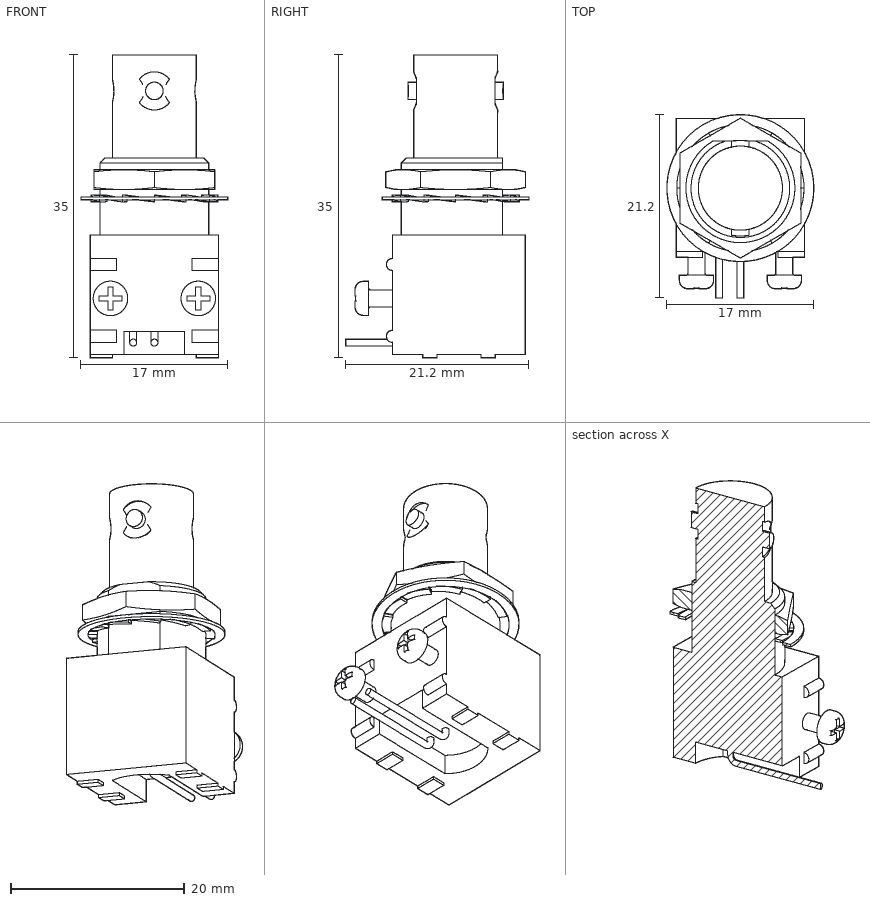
import cadquery as cq
import math


BLOCK_WIDTH = 14.85
BLOCK_FRONT_Y = -7.3
BLOCK_BACK_Y = 8.05
BLOCK_DEPTH = BLOCK_BACK_Y - BLOCK_FRONT_Y
BLOCK_HEIGHT = 13.85

FOOT_WIDTH = 2.6
FOOT_DEPTH = 1.68
FOOT_HEIGHT = 0.35
FOOT_CENTERS_Y = (3.75, -2.98)

RIB_RADIUS = 0.7
RIB_LENGTH = 3.05
RIB_CENTERS_Z = (10.43, 2.15)

RECESS_WIDTH = 7.0
RECESS_BACK_RADIUS = 4.9
RECESS_HEIGHT = 2.65
LEAD_DIAMETER = 0.8
LEAD_BEND_RADIUS = 0.85
LEAD_AXIS_Z = 1.4
LEAD_TIP_Y = -12.7
LEAD_CENTERS_X = (-2.45, 0.0)

TOTAL_HEIGHT = 35.0
TOP_Z = TOTAL_HEIGHT - FOOT_HEIGHT
BARREL_RADIUS = 6.3
BARREL_FLAT_Y = 5.42
BARREL_TOP_Z = 22.75
BARREL_CHAMFER = 0.6

TUBE_RADIUS = 4.85
LUG_AXIS_Z = TOP_Z - 4.15
GROOVE_HALF_WIDTH = 1.33
GROOVE_DEPTH = 0.18
LUG_RADIUS = 1.0
LUG_TIP_RADIUS = 5.53
SPOT_RADIUS = 2.2
SPOT_FLOOR_Y = 4.55

NUT_ACROSS_FLATS = 14.0
NUT_HEIGHT = 2.3
NUT_TOP_Z = 21.4
NUT_BOTTOM_Z = NUT_TOP_Z - NUT_HEIGHT
NUT_FACE_RADIUS = 6.93
NUT_CORNER_RADIUS = NUT_ACROSS_FLATS / 2 / math.cos(math.radians(30))
NUT_CORNER_DROP = 0.25

WASHER_RADIUS = 8.5
WASHER_RIM_INNER_RADIUS = 7.35
WASHER_THICKNESS = 0.35
WASHER_CENTER_Z = 18.05
TOOTH_COUNT = 12
TOOTH_ANGLE = 360 / TOOTH_COUNT
TOOTH_TWIST = 7

SCREW_CENTERS_X = (-5.08, 5.08)
SCREW_AXIS_Z = 6.5
SHANK_RADIUS = 0.998
SHANK_LENGTH = 2.73
NECK_FILLET = 0.18
HEAD_RADIUS = 2.0
HEAD_HEIGHT = 1.6
HEAD_ROUNDING = 1.0
CROSS_LENGTH = 2.65
CROSS_ARM_WIDTH = 0.6
CROSS_DEPTH = 0.7


def cylinder(radius, bottom_z, top_z):
    """Cylinder on the barrel axis between two heights."""
    return cq.Workplane("XY").workplane(offset=bottom_z).circle(radius).extrude(top_z - bottom_z)


def facing_front(x, y, z):
    """Workplane whose normal points to -Y, with its X along +X and its Y along +Z."""
    return cq.Workplane(cq.Plane(origin=(x, y, z), xDir=(1, 0, 0), normal=(0, -1, 0)))


def make_block():
    block = cq.Workplane("XY").box(BLOCK_WIDTH, BLOCK_DEPTH, BLOCK_HEIGHT, centered=(True, False, False))
    block = block.translate((0, BLOCK_FRONT_Y, 0))
    for side in (-1, 1):
        foot_x = side * (BLOCK_WIDTH - FOOT_WIDTH) / 2
        for foot_y in FOOT_CENTERS_Y:
            foot = cq.Workplane("XY").center(foot_x, foot_y).rect(FOOT_WIDTH, FOOT_DEPTH).extrude(-FOOT_HEIGHT)
            block = block.union(foot)
        rib_start_x = side * BLOCK_WIDTH / 2
        for rib_z in RIB_CENTERS_Z:
            rib = (
                cq.Workplane("YZ")
                .workplane(offset=rib_start_x)
                .center(BLOCK_FRONT_Y, rib_z)
                .circle(RIB_RADIUS)
                .extrude(-side * RIB_LENGTH)
            )
            block = block.union(rib)
    return block


def make_recess():
    """Straight-sided recess whose back wall is an arc about the barrel axis."""
    half_width = RECESS_WIDTH / 2
    side_end_y = math.sqrt(RECESS_BACK_RADIUS**2 - half_width**2)
    return (
        cq.Workplane("XY")
        .moveTo(-half_width, BLOCK_FRONT_Y)
        .lineTo(half_width, BLOCK_FRONT_Y)
        .lineTo(half_width, side_end_y)
        .threePointArc((0, RECESS_BACK_RADIUS), (-half_width, side_end_y))
        .close()
        .extrude(RECESS_HEIGHT)
    )


def make_lead(x):
    """Round lead that drops from the recess ceiling, bends and runs out to the front."""
    bend_top_z = LEAD_AXIS_Z + LEAD_BEND_RADIUS
    path = (
        cq.Workplane(cq.Plane(origin=(x, 0, 0), xDir=(0, 1, 0), normal=(1, 0, 0)))
        .moveTo(0, RECESS_HEIGHT)
        .lineTo(0, bend_top_z)
        .tangentArcPoint((-LEAD_BEND_RADIUS, LEAD_AXIS_Z), relative=False)
        .lineTo(LEAD_TIP_Y, LEAD_AXIS_Z)
    )
    section = cq.Workplane("XY").workplane(offset=RECESS_HEIGHT).center(x, 0).circle(LEAD_DIAMETER / 2)
    return section.sweep(path)


def flatten_back(shape):
    """Cut away everything behind the barrel's flat."""
    size = 2 * TOTAL_HEIGHT
    behind_flat = cq.Workplane("XY").box(size, size, size, centered=(True, False, True))
    return shape.cut(behind_flat.translate((0, BARREL_FLAT_Y, 0)))


def make_barrel(bottom_z):
    barrel = cylinder(BARREL_RADIUS, bottom_z, BARREL_TOP_Z).faces(">Z").chamfer(BARREL_CHAMFER)
    return flatten_back(barrel)


def make_tube():
    waist_radius = TUBE_RADIUS - GROOVE_DEPTH
    groove_arc_radius = (GROOVE_HALF_WIDTH**2 + GROOVE_DEPTH**2) / (2 * GROOVE_DEPTH)
    tube = (
        cq.Workplane("XZ")
        .moveTo(0, BARREL_TOP_Z)
        .lineTo(TUBE_RADIUS, BARREL_TOP_Z)
        .lineTo(TUBE_RADIUS, LUG_AXIS_Z - GROOVE_HALF_WIDTH)
        .radiusArc((waist_radius, LUG_AXIS_Z), groove_arc_radius)
        .radiusArc((TUBE_RADIUS, LUG_AXIS_Z + GROOVE_HALF_WIDTH), groove_arc_radius)
        .lineTo(TUBE_RADIUS, TOP_Z)
        .lineTo(0, TOP_Z)
        .close()
        .revolve(360, (0, 0, 0), (0, 1, 0))
    )
    front_spot = facing_front(0, -SPOT_FLOOR_Y, LUG_AXIS_Z).circle(SPOT_RADIUS).extrude(TUBE_RADIUS)
    tube = tube.cut(front_spot).cut(front_spot.mirror("XZ"))
    lug_bar = facing_front(0, 0, LUG_AXIS_Z).circle(LUG_RADIUS).extrude(2 * LUG_TIP_RADIUS, both=True)
    lug_ends = cylinder(LUG_TIP_RADIUS, LUG_AXIS_Z - LUG_RADIUS, LUG_AXIS_Z + LUG_RADIUS)
    return tube.union(lug_bar.intersect(lug_ends))


def make_housing():
    housing = make_block().cut(make_recess())
    for x in LEAD_CENTERS_X:
        housing = housing.union(make_lead(x))
    return housing.union(make_barrel(BLOCK_HEIGHT)).union(make_tube())


def make_nut():
    """Hexagon nut with corners bevelled on both faces and a bore that fits the flattened barrel."""
    hexagon = (
        cq.Workplane("XY")
        .workplane(offset=NUT_BOTTOM_Z)
        .polygon(6, 2 * NUT_CORNER_RADIUS)
        .extrude(NUT_HEIGHT)
        .rotate((0, 0, 0), (0, 0, 1), 30)
    )
    bevel_envelope = (
        cq.Workplane("XZ")
        .moveTo(0, NUT_BOTTOM_Z)
        .lineTo(NUT_FACE_RADIUS, NUT_BOTTOM_Z)
        .lineTo(NUT_CORNER_RADIUS, NUT_BOTTOM_Z + NUT_CORNER_DROP)
        .lineTo(NUT_CORNER_RADIUS, NUT_TOP_Z - NUT_CORNER_DROP)
        .lineTo(NUT_FACE_RADIUS, NUT_TOP_Z)
        .lineTo(0, NUT_TOP_Z)
        .close()
        .revolve(360, (0, 0, 0), (0, 1, 0))
    )
    bore = flatten_back(cylinder(BARREL_RADIUS, NUT_BOTTOM_Z, NUT_TOP_Z))
    return hexagon.intersect(bevel_envelope).cut(bore)


def make_washer():
    """Flat rim with a ring of inner teeth, each twisted about its own radial axis."""
    rim = (
        cq.Workplane("XY")
        .circle(WASHER_RADIUS)
        .circle(WASHER_RIM_INNER_RADIUS)
        .extrude(WASHER_THICKNESS / 2, both=True)
    )
    half_angle = math.radians(TOOTH_ANGLE / 2)
    sector_length = WASHER_RADIUS
    sector_half_width = sector_length * math.tan(half_angle)
    sector = (
        cq.Workplane("XY")
        .polyline([(0, 0), (sector_length, -sector_half_width), (sector_length, sector_half_width)])
        .close()
        .extrude(WASHER_THICKNESS * 2, both=True)
    )
    tooth_ring = (
        cq.Workplane("XY")
        .circle(WASHER_RIM_INNER_RADIUS)
        .circle(BARREL_RADIUS)
        .extrude(WASHER_THICKNESS * 2, both=True)
    )
    twisted_plate = (
        cq.Workplane("XY")
        .box(2 * WASHER_RADIUS, 2 * WASHER_RADIUS, WASHER_THICKNESS)
        .rotate((0, 0, 0), (1, 0, 0), -TOOTH_TWIST)
    )
    tooth = twisted_plate.intersect(sector).intersect(tooth_ring)
    washer = rim
    for index in range(TOOTH_COUNT):
        angle = (index + 0.5) * TOOTH_ANGLE
        washer = washer.union(tooth.rotate((0, 0, 0), (0, 0, 1), angle))
    return washer.translate((0, 0, WASHER_CENTER_Z))


def make_screw(x):
    """Pan-head screw standing on the front face, with a cross recess in its head."""
    neck_length = SHANK_LENGTH - NECK_FILLET
    length = SHANK_LENGTH + HEAD_HEIGHT
    rounding_start = length - HEAD_ROUNDING
    screw = (
        facing_front(x, BLOCK_FRONT_Y, SCREW_AXIS_Z)
        .transformed(rotate=(90, 0, 0))
        .lineTo(SHANK_RADIUS, 0)
        .lineTo(SHANK_RADIUS, neck_length)
        .radiusArc((SHANK_RADIUS + NECK_FILLET, SHANK_LENGTH), NECK_FILLET)
        .lineTo(HEAD_RADIUS, SHANK_LENGTH)
        .lineTo(HEAD_RADIUS, rounding_start)
        .radiusArc((HEAD_RADIUS - HEAD_ROUNDING, length), -HEAD_ROUNDING)
        .lineTo(0, length)
        .close()
        .revolve(360, (0, 0, 0), (0, 1, 0))
    )
    tip = facing_front(x, BLOCK_FRONT_Y - length, SCREW_AXIS_Z)
    across = tip.rect(CROSS_LENGTH, CROSS_ARM_WIDTH).extrude(-CROSS_DEPTH)
    upright = tip.rect(CROSS_ARM_WIDTH, CROSS_LENGTH).extrude(-CROSS_DEPTH)
    return screw.cut(across).cut(upright)


housing = make_housing()
nut = make_nut()
washer = make_washer()
screws = [make_screw(x) for x in SCREW_CENTERS_X]

result = cq.Compound.makeCompound(
    [housing.val(), nut.val(), washer.val(), *[screw.val() for screw in screws]]
)